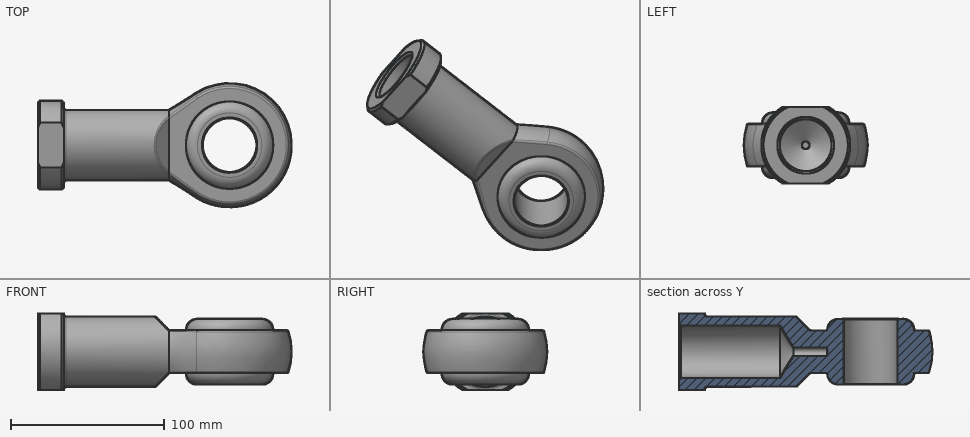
import cadquery as cq
import math

head_length = 17.0
head_diameter = 58.0
head_across_flats = 50.0
head_chamfer = 1.5

shank_radius = 23.0
neck_fillet = 1.5

eye_center_x = 125.0
eye_radius = 40.5
eye_thickness = 28.0
eye_edge_fillet = 1.5
cone_start_x = 85.5

ring_height = 43.0
ring_diameter = 57.0
ring_bore_diameter = 35.0
ring_bore_chamfer = 0.5

bore_diameter = 33.8
bore_mouth_diameter = 37.0
bore_depth = 66.0
bore_tip_angle = 118.0
pilot_diameter = 5.0


def around_x(profile):
    """Turn a closed profile in the XY plane a full revolution about the X axis."""
    return profile.close().revolve(360, (0, 0, 0), (1, 0, 0))


def make_head():
    """Chamfered disc with flats above and below."""
    disc = cq.Workplane("YZ").circle(head_diameter / 2).extrude(head_length)
    disc = disc.faces("<X or >X").chamfer(head_chamfer)
    flats = cq.Workplane("XY").box(2 * head_length, head_diameter, head_across_flats)
    return disc.intersect(flats)


def make_body():
    """Shank with neck fillet, tangent cone and sphere, flattened above and below around the eye."""
    to_cone_x = eye_center_x - cone_start_x
    to_cone = math.hypot(to_cone_x, shank_radius)
    tangent_angle = math.atan2(shank_radius, -to_cone_x) - math.acos(eye_radius / to_cone)
    tangent_x = eye_center_x + eye_radius * math.cos(tangent_angle)
    tangent_y = eye_radius * math.sin(tangent_angle)
    arc_mid = (
        eye_center_x + eye_radius * math.cos(tangent_angle / 2),
        eye_radius * math.sin(tangent_angle / 2),
    )
    body = around_x(
        cq.Workplane("XY")
        .moveTo(head_length, 0)
        .lineTo(head_length, shank_radius + neck_fillet)
        .radiusArc((head_length + neck_fillet, shank_radius), -neck_fillet)
        .lineTo(cone_start_x, shank_radius)
        .lineTo(tangent_x, tangent_y)
        .threePointArc(arc_mid, (eye_center_x + eye_radius, 0))
    )

    half_eye = eye_thickness / 2
    tall = head_diameter / 2
    bevel_start_x = cone_start_x - (tall - half_eye)
    end_x = eye_center_x + 2 * eye_radius
    envelope = (
        cq.Workplane("XZ")
        .moveTo(0, tall)
        .lineTo(bevel_start_x, tall)
        .lineTo(cone_start_x, half_eye)
        .lineTo(end_x, half_eye)
        .lineTo(end_x, -half_eye)
        .lineTo(cone_start_x, -half_eye)
        .lineTo(bevel_start_x, -tall)
        .lineTo(0, -tall)
        .close()
        .extrude(2 * eye_radius, both=True)
    )
    body = body.rotate((0, 0, 0), (1, 0, 0), 180).intersect(envelope)

    min_vertical_tilt = 0.5
    planes = body.faces("%PLANE").vals()
    facing_up_or_down = [face for face in planes if abs(face.normalAt().z) > min_vertical_tilt]
    rims = body.newObject(facing_up_or_down).edges("not(|Y)")
    return rims.fillet(eye_edge_fillet)


def make_ring():
    """Solid ring blank with quarter-round rims that run down to the eye faces."""
    rim_radius = (ring_height - eye_thickness) / 2
    bottom_plane = cq.Workplane("XY", origin=(0, 0, -ring_height / 2))
    blank = bottom_plane.circle(ring_diameter / 2).extrude(ring_height)
    return blank.faces("<Z or >Z").edges().fillet(rim_radius)


def make_ring_bore():
    """Through bore with a small chamfer at each mouth."""
    bore_radius = ring_bore_diameter / 2
    mouth_radius = bore_radius + ring_bore_chamfer
    half_height = ring_height / 2
    return (
        cq.Workplane("XZ")
        .moveTo(0, -half_height)
        .lineTo(mouth_radius, -half_height)
        .lineTo(bore_radius, -half_height + ring_bore_chamfer)
        .lineTo(bore_radius, half_height - ring_bore_chamfer)
        .lineTo(mouth_radius, half_height)
        .lineTo(0, half_height)
        .close()
        .revolve(360, (0, 0, 0), (0, 1, 0))
    )


def make_shank_bore():
    """Drilled bore with a countersunk mouth, a conical bottom and a narrow pilot hole.

    The pilot hole runs to the eye center; the ring closes it off at the ring's outer surface.
    """
    bore_radius = bore_diameter / 2
    mouth_radius = bore_mouth_diameter / 2
    pilot_radius = pilot_diameter / 2
    tip_length = (bore_radius - pilot_radius) / math.tan(math.radians(bore_tip_angle / 2))
    return around_x(
        cq.Workplane("XY")
        .moveTo(0, 0)
        .lineTo(0, mouth_radius)
        .lineTo(mouth_radius - bore_radius, bore_radius)
        .lineTo(bore_depth, bore_radius)
        .lineTo(bore_depth + tip_length, pilot_radius)
        .lineTo(eye_center_x, pilot_radius)
        .lineTo(eye_center_x, 0)
    )


housing = make_head().union(make_body()).cut(make_shank_bore())
ring_place = (eye_center_x, 0, 0)
result = housing.union(make_ring().translate(ring_place))
result = result.cut(make_ring_bore().translate(ring_place))